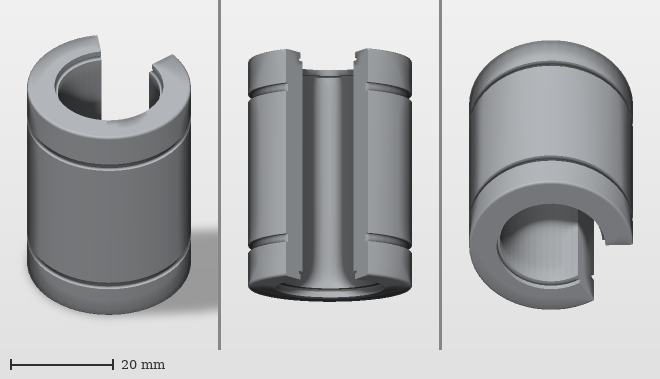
import cadquery as cq
import math

length = 45.0
outer_radius = 15.998
bore_radius = 10.0
edge_round = 0.5

ring_groove_offset = 6.75
ring_groove_width = 1.6
ring_groove_radius = 15.1

seat_radius = 10.6
seat_depth = 1.12
seal_groove_radius = 11.2
seal_groove_width = 0.55

opening_center_angle = 135.0
opening_angle = 60.0


def cylinder(radius, bottom, height):
    return cq.Workplane("XY").workplane(offset=bottom).circle(radius).extrude(height)


def mirrored_pair(lower):
    """Return a body from the lower end together with its copy at the upper end."""
    upper = lower.mirror("XY", (0, 0, length / 2))
    return lower.union(upper)


def sleeve():
    blank = cylinder(outer_radius, 0, length).faces("|Z").edges().fillet(edge_round)
    return blank.cut(cylinder(bore_radius, 0, length))


def ring_groove():
    envelope = cylinder(outer_radius + 0.45, ring_groove_offset, ring_groove_width)
    floor = cylinder(ring_groove_radius, ring_groove_offset, ring_groove_width)
    return envelope.cut(floor)


def seal_seat():
    mouth = cylinder(seat_radius, 0, seat_depth)
    seal_groove = cylinder(seal_groove_radius, seat_depth, seal_groove_width)
    return mouth.union(seal_groove)


def opening():
    """Radial wedge whose two faces meet on the bore axis."""
    reach = 2 * outer_radius
    corners = [(0, 0)]
    for side in (-1, 1):
        angle = math.radians(opening_center_angle + side * opening_angle / 2)
        corners.append((reach * math.cos(angle), reach * math.sin(angle)))
    return cq.Workplane("XY").polyline(corners).close().extrude(length)


result = (
    sleeve()
    .cut(mirrored_pair(ring_groove()))
    .cut(mirrored_pair(seal_seat()))
    .cut(opening())
)